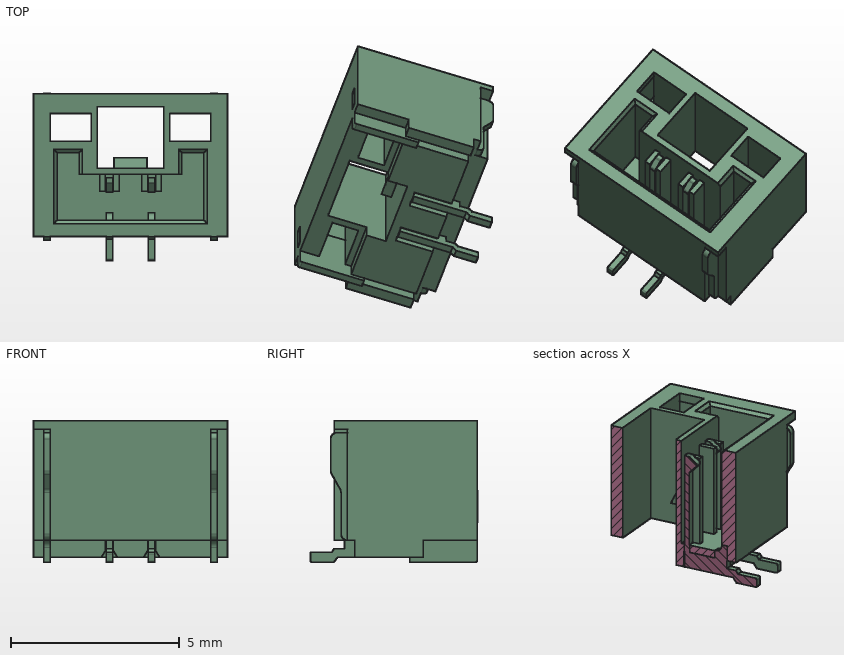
import cadquery as cq
import math


width = 5.75
back_y = 4.24
top_z = 4.2
body_bottom_z = 0.65
base_bottom_z = 0.15
base_front_y = 0.605
base_back_y = 2.64

step_width = 0.5
step_depth = 0.39
step_top_z = 3.94

socket_half_width = 2.175
socket_front_y = 0.49
socket_wall_y = 1.845
arm_inner_x = 1.525
arm_back_y = 2.49
socket_floor_z = 0.9
lead_in = 0.1

latch_window_half_width = 0.98
latch_window_front_y = 2.035
latch_window_back_y = 3.845
side_window_inner_x = 1.166
side_window_front_y = 2.83
side_window_back_y = 3.645

ramp_width = 0.98
ramp_depth = 0.31
ramp_height = 0.6
ramp_bottom_z = 2.0

anchor_inner_x = width / 2 - step_width
anchor_thickness = 0.2
anchor_outer_x = anchor_inner_x + anchor_thickness
anchor_top_z = 3.845
anchor_limb_back_y = 2.236
anchor_slot_back_y = 3.94
anchor_upper_y = -0.108
anchor_lower_y = 0.2
anchor_bend_z = 2.66
anchor_slope_angle = 60
anchor_radius = 0.2
anchor_crown_radius = 0.19
foot_corner_radius = 0.06
anchor_end_height = 0.01
anchor_end_bottom_z = 1.19
anchor_end_top_z = 2.12

pitch = 1.25
contact_xs = [-pitch / 2, pitch / 2]
contact_thickness = 0.2
contact_gap = 0.02
tail_tip_y = -0.71
tail_top_z = 0.305
tail_bend_top_y = -0.073
tail_heel_y = -0.01
tail_tip_radius = 0.05
shank_top_z = 0.41
shank_bend_bottom_y = 0.1
stem_front_y = 0.3
heel_back_y = 0.71
blade_front_y = 1.32
blade_back_y = 1.742
blade_crest_y = 1.6
blade_top_z = 3.75
blade_slope_angle = 36
blade_tip_height = 0.06
blade_undercut_y = 1.58
blade_radius = 0.06

rib_outer_half_width = 0.29
rib_top_z = 3.65
rib_front_y = 1.345

slot_half_width = contact_thickness / 2 + contact_gap
flare_half_width = 0.237
flare_top_z = 0.344


def block(x0, x1, y0, y1, z0, z1):
    return cq.Workplane("XY").box(x1 - x0, y1 - y0, z1 - z0, centered=False).translate((x0, y0, z0))


def side_plate(profile, x0, x1):
    """Extrude a closed (Y, Z) profile from x0 to x1."""
    return profile.close().extrude(x1 - x0).translate((x0, 0, 0))


def lead_in_cut(x0, x1, y0, y1):
    """Frustum from the socket outline (x0..x1, y0..y1) out to the wider mouth at the top face."""
    return (
        cq.Workplane("XY", origin=((x0 + x1) / 2, (y0 + y1) / 2, top_z - lead_in))
        .rect(x1 - x0, y1 - y0)
        .workplane(offset=lead_in)
        .rect(x1 - x0 + 2 * lead_in, y1 - y0 + 2 * lead_in)
        .loft()
    )


def make_socket():
    half = socket_half_width
    socket = block(-half, half, socket_front_y, socket_wall_y, socket_floor_z, top_z)
    front_mouth = lead_in_cut(-half, half, socket_front_y, socket_wall_y)
    kept = block(-width / 2, width / 2, 0, socket_wall_y, 0, top_z)
    socket = socket.union(front_mouth.intersect(kept))
    for x0, x1 in [(-half, -arm_inner_x), (arm_inner_x, half)]:
        socket = socket.union(block(x0, x1, socket_front_y, arm_back_y, socket_floor_z, top_z))
        socket = socket.union(lead_in_cut(x0, x1, socket_front_y, arm_back_y))
    return socket


def make_side_window(side):
    """Window whose outer wall lines up with the inner face of the anchor slot."""
    x0, x1 = sorted([side * side_window_inner_x, side * anchor_inner_x])
    return block(x0, x1, side_window_front_y, side_window_back_y, 0, top_z)


def make_latch_ramp():
    profile = cq.Workplane("YZ").polyline([
        (latch_window_front_y, ramp_bottom_z),
        (latch_window_front_y + ramp_depth, ramp_bottom_z),
        (latch_window_front_y, ramp_bottom_z + ramp_height),
    ])
    return side_plate(profile, -ramp_width / 2, ramp_width / 2)


def make_anchor(side):
    """Plate in the corner slot: a tall front limb, and a lower part that reaches the back and the foot."""
    x0, x1 = sorted([side * anchor_inner_x, side * anchor_outer_x])
    slope_run = anchor_lower_y - anchor_upper_y
    slope_end_z = anchor_bend_z - slope_run * math.tan(math.radians(anchor_slope_angle))
    outline = cq.Workplane("YZ").polyline([
        (back_y, 0),
        (anchor_limb_back_y, 0),
        (anchor_limb_back_y, body_bottom_z),
        (anchor_lower_y, body_bottom_z),
        (anchor_lower_y, slope_end_z),
        (anchor_upper_y, anchor_bend_z),
        (anchor_upper_y, anchor_top_z),
        (anchor_limb_back_y, anchor_top_z),
        (anchor_limb_back_y, anchor_end_top_z),
        (back_y, anchor_end_top_z),
    ])
    anchor = side_plate(outline, x0, x1)
    rounded = [
        (anchor_limb_back_y, body_bottom_z),
        (anchor_lower_y, body_bottom_z),
        (anchor_lower_y, slope_end_z),
        (anchor_upper_y, anchor_bend_z),
    ]
    middle_x = (x0 + x1) / 2
    for y, z in rounded:
        anchor = anchor.edges(cq.selectors.NearestToPointSelector((middle_x, y, z))).fillet(anchor_radius)
    crown = cq.selectors.NearestToPointSelector((middle_x, anchor_upper_y, anchor_top_z))
    anchor = anchor.edges(crown).fillet(anchor_crown_radius)
    anchor = anchor.edges("|X and >Y and <Z").fillet(foot_corner_radius)
    proud_y = back_y + anchor_end_height
    return anchor.union(block(x0, x1, back_y, proud_y, anchor_end_bottom_z, anchor_end_top_z))


def make_ribs(x):
    """Two ribs that stand on the socket floor and flank a contact blade."""
    half = rib_outer_half_width
    pair = block(x - half, x + half, rib_front_y, socket_wall_y, socket_floor_z, rib_top_z)
    gap = block(x - slot_half_width, x + slot_half_width, 0, socket_wall_y, socket_floor_z, top_z)
    return pair.cut(gap)


def make_contact_slot(x):
    """Slot in the base, open to the front and to the bottom, where its mouth flares."""
    slot_back_y = blade_back_y + contact_gap
    return (
        cq.Workplane("XZ")
        .polyline([
            (x - flare_half_width, base_bottom_z),
            (x - slot_half_width, flare_top_z),
            (x - slot_half_width, body_bottom_z),
            (x + slot_half_width, body_bottom_z),
            (x + slot_half_width, flare_top_z),
            (x + flare_half_width, base_bottom_z),
        ])
        .close()
        .extrude(-slot_back_y)
    )


def make_contact(x):
    """Stamped contact: solder tail, front stem with a rounded heel, and a tall blade."""
    heel_radius = heel_back_y - socket_front_y
    stem_top_z = socket_floor_z + heel_radius
    bulge = heel_radius * (1 - math.sqrt(0.5))
    blade_slope_drop = (blade_crest_y - blade_front_y) * math.tan(math.radians(blade_slope_angle))
    blade_tip_z = blade_top_z - blade_slope_drop
    undercut_top_z = blade_tip_z - blade_tip_height
    undercut_bottom_z = undercut_top_z - (blade_undercut_y - blade_front_y)
    profile = (
        cq.Workplane("YZ")
        .moveTo(blade_back_y, base_bottom_z)
        .lineTo(shank_bend_bottom_y, base_bottom_z)
        .lineTo(tail_heel_y, 0)
        .lineTo(tail_tip_y, 0)
        .lineTo(tail_tip_y, tail_top_z)
        .lineTo(tail_bend_top_y, tail_top_z)
        .lineTo(0, shank_top_z)
        .lineTo(stem_front_y, shank_top_z)
        .lineTo(stem_front_y, stem_top_z)
        .lineTo(socket_front_y, stem_top_z)
        .threePointArc((socket_front_y + bulge, socket_floor_z + bulge), (heel_back_y, socket_floor_z))
        .lineTo(heel_back_y, body_bottom_z)
        .lineTo(blade_undercut_y, body_bottom_z)
        .lineTo(blade_undercut_y, undercut_bottom_z)
        .lineTo(blade_front_y, undercut_top_z)
        .lineTo(blade_front_y, blade_tip_z)
        .lineTo(blade_crest_y, blade_top_z)
        .lineTo(blade_back_y, blade_top_z)
    )
    contact = side_plate(profile, x - contact_thickness / 2, x + contact_thickness / 2)
    contact = contact.edges("|X and <Y").fillet(tail_tip_radius)
    for y, z in [(blade_front_y, blade_tip_z), (blade_crest_y, blade_top_z)]:
        contact = contact.edges(cq.selectors.NearestToPointSelector((x, y, z))).fillet(blade_radius)
    return contact


def make_housing(contacts):
    half = width / 2
    housing = block(-half, half, 0, back_y, body_bottom_z, top_z)
    housing = housing.union(block(-half, half, base_front_y, base_back_y, base_bottom_z, body_bottom_z))
    housing = housing.cut(make_socket())
    window_half = latch_window_half_width
    housing = housing.cut(
        block(-window_half, window_half, latch_window_front_y, latch_window_back_y, 0, top_z)
    )
    housing = housing.union(make_latch_ramp())
    for side in (-1, 1):
        step_x0, step_x1 = sorted([side * anchor_inner_x, side * half])
        housing = housing.cut(block(step_x0, step_x1, 0, step_depth, body_bottom_z, step_top_z))
        slot_x0, slot_x1 = sorted([side * anchor_inner_x, side * anchor_outer_x])
        housing = housing.cut(block(slot_x0, slot_x1, 0, anchor_slot_back_y, base_bottom_z, step_top_z))
        housing = housing.union(make_anchor(side))
        housing = housing.cut(make_side_window(side))
    for x, contact in zip(contact_xs, contacts):
        housing = housing.union(make_ribs(x))
        housing = housing.cut(make_contact_slot(x))
        housing = housing.cut(contact)
    return housing


contacts = [make_contact(x) for x in contact_xs]
housing = make_housing(contacts)

result = cq.Compound.makeCompound([housing.val()] + [contact.val() for contact in contacts])